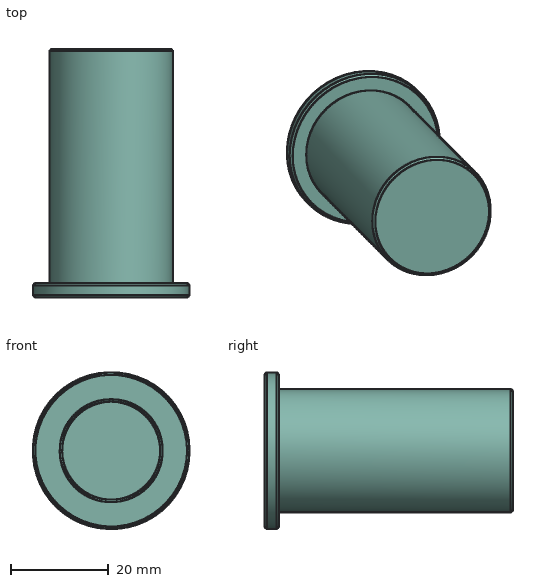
import cadquery as cq

length = 50.8
flange_diameter = 32.0
flange_thickness = 3.0
body_diameter = 25.25
edge_chamfer = 0.5

recess_floor_diameter = 20.0
recess_depth = 0.5

front_y = -length / 2


def cylinder_along_y(diameter, start_y, height):
    """Cylinder about the Y axis, growing towards +Y from start_y."""
    plane = cq.Plane(origin=(0, start_y, 0), xDir=(1, 0, 0), normal=(0, 1, 0))
    return cq.Workplane(plane).circle(diameter / 2).extrude(height)


def make_flange():
    """Disc with both rims chamfered."""
    disc = cylinder_along_y(flange_diameter, front_y, flange_thickness)
    return disc.faces("<Y or >Y").edges().chamfer(edge_chamfer)


def make_body():
    """Shank behind the flange, starting inside it and chamfered at its free end."""
    overlap_y = front_y + flange_thickness / 2
    shank = cylinder_along_y(body_diameter, overlap_y, length / 2 - overlap_y)
    return shank.faces(">Y").edges().chamfer(edge_chamfer)


def make_recess():
    """Truncated cone to cut from the flange face, widest at the face."""
    floor_radius = recess_floor_diameter / 2
    mouth_radius = floor_radius + recess_depth
    return cq.Workplane(cq.Solid.makeCone(
        mouth_radius,
        floor_radius,
        recess_depth,
        pnt=cq.Vector(0, front_y, 0),
        dir=cq.Vector(0, 1, 0),
    ))


result = make_flange().union(make_body()).cut(make_recess())